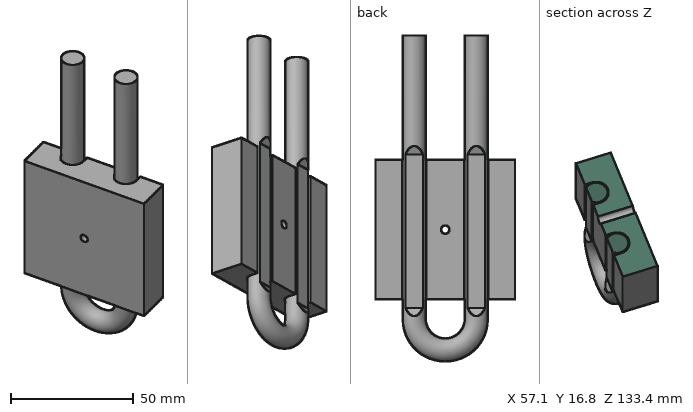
import cadquery as cq

block_side = 57.15
block_thickness = 15.24
center_hole_diameter = 3.3

tube_diameter = 9.525
tube_radius = tube_diameter / 2
leg_spacing = 25.4
bend_radius = leg_spacing / 2
leg_above_block = 50.8
bend_drop = 25.41
tube_proud = 1.57
tube_y = block_thickness + tube_proud - tube_radius

block_top = block_side / 2
block_bottom = -block_side / 2
tube_top = block_top + leg_above_block
bend_center_z = block_bottom - bend_drop + bend_radius + tube_radius

flat_above_block = 2.2
flat_below_block = 3.4
ramp_length = 3.4

groove_clearance = 0.2
groove_radius = tube_radius + groove_clearance

leg_positions = [-bend_radius, bend_radius]


def make_groove(leg_x):
    """Full-height groove around one leg: half-round bottom, straight walls out to the block back."""
    return (
        cq.Workplane("XY", origin=(leg_x, 0, block_bottom))
        .moveTo(-groove_radius, block_thickness)
        .lineTo(-groove_radius, tube_y)
        .threePointArc((0, tube_y - groove_radius), (groove_radius, tube_y))
        .lineTo(groove_radius, block_thickness)
        .close()
        .extrude(block_side)
    )


def make_block():
    """Square block with a through hole at its middle and a groove for each tube leg."""
    block = cq.Workplane("XY").box(block_side, block_thickness, block_side)
    block = block.translate((0, block_thickness / 2, 0))
    center_hole = cq.Workplane("XZ").circle(center_hole_diameter / 2).extrude(-block_thickness)
    block = block.cut(center_hole)
    for leg_x in leg_positions:
        block = block.cut(make_groove(leg_x))
    return block


def make_flattening_cutter():
    """Trapezoidal bar behind the block back, wide enough to level both legs."""
    flat_top = block_top + flat_above_block
    flat_bottom = block_bottom - flat_below_block
    width = leg_spacing + 2 * tube_diameter
    return (
        cq.Workplane("YZ", origin=(-width / 2, 0, 0))
        .moveTo(block_thickness, flat_bottom)
        .lineTo(block_thickness, flat_top)
        .lineTo(block_thickness + tube_proud, flat_top + ramp_length)
        .lineTo(block_thickness + tube_proud, flat_bottom - ramp_length)
        .close()
        .extrude(width)
    )


def make_tube():
    """Round U, open at the top, with its back levelled along the block."""
    center_line = (
        cq.Workplane("XZ", origin=(0, tube_y, 0))
        .moveTo(-bend_radius, tube_top)
        .lineTo(-bend_radius, bend_center_z)
        .threePointArc((0, bend_center_z - bend_radius), (bend_radius, bend_center_z))
        .lineTo(bend_radius, tube_top)
    )
    tube = (
        cq.Workplane("XY", origin=(-bend_radius, tube_y, tube_top))
        .circle(tube_radius)
        .sweep(center_line)
    )
    return tube.cut(make_flattening_cutter())


block = make_block()
tube = make_tube()

result = cq.Compound.makeCompound([block.val(), tube.val()])